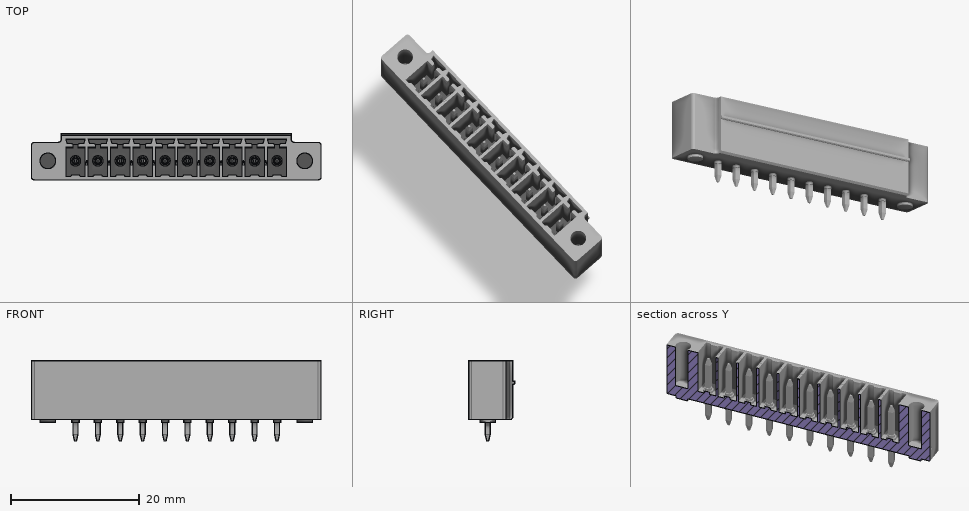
import cadquery as cq


LENGTH = 45.3
BODY_HEIGHT = 9.25
BODY_DEPTH = 6.95
EAR_DEPTH = 5.9
EAR_LENGTH = 4.65
CORNER_RADIUS = 0.5
BACK_CHAMFER = 0.3
FLOOR_THICKNESS = 2.0

RIB_OUT = 0.3
RIB_TOP = BODY_HEIGHT - 3.2
RIB_HEIGHT = 0.5

PIN_COUNT = 10
PIN_ROW_LENGTH = 31.5
PIN_PITCH = PIN_ROW_LENGTH / (PIN_COUNT - 1)
PIN_Y = 3.0
PIN_WIDTH = 0.8
PIN_TOP = BODY_HEIGHT - 1.15
PIN_BOTTOM = -3.35
TIP_WIDTH = 0.3
TIP_LENGTH = 1.05
COLLAR_HEIGHT = 0.4
SLEEVE_OVERHANG = 0.4
SLEEVE_RADIUS = 0.6
COLLAR_RADIUS = 0.8

HOLE_RADIUS = 1.22
HOLE_X = LENGTH / 2 - 2.6
FOOT_HEIGHT = 0.4

CHAMBER_WIDTH = 3.05
CHAMBER_FRONT = 0.55
CHAMBER_BACK = 5.15
LEAD_IN_DEPTH = 0.16
LEAD_IN_HEIGHT = 0.55
BUMP_HEIGHT = 0.25
BUMP_BASE_WIDTH = 1.55
BUMP_TOP_WIDTH = 1.1

NECK_WIDTH = 0.8
NECK_END = 5.55
MOUTH_WIDTH = 1.25
HEAD_FRONT = 5.7
HEAD_BACK = 6.45
HEAD_FRONT_WIDTH = 2.65
HEAD_BACK_WIDTH = 3.05
HEAD_FLOOR_RISE = 0.45
HEAD_BACK_DRAFT = 0.15

MARK_WIDTH = 0.4
MARK_LENGTH = 0.75
MARK_DEPTH = 0.1
DIVIDER_MARK_Y = 2.3
END_MARK_Z = 1.9

PIN_XS = [i * PIN_PITCH - PIN_ROW_LENGTH / 2 for i in range(PIN_COUNT)]
DIVIDER_XS = [x + PIN_PITCH / 2 for x in PIN_XS[:-1]]


def mirrored_outline(half):
    """Close an outline symmetric about X = 0 from its right half."""
    return half + [(-x, y) for x, y in reversed(half)]


def prism(points, bottom, top):
    return cq.Workplane("XY").workplane(offset=bottom).polyline(points).close().extrude(top - bottom)


def cylinder(x, y, radius, bottom, top):
    return cq.Workplane("XY").workplane(offset=bottom).center(x, y).circle(radius).extrude(top - bottom)


def make_body():
    ears = cq.Workplane("XY").box(LENGTH, EAR_DEPTH, BODY_HEIGHT, centered=(True, False, False))
    ears = ears.edges("|Z").fillet(CORNER_RADIUS)
    middle_length = LENGTH - 2 * EAR_LENGTH
    middle = cq.Workplane("XY").box(middle_length, BODY_DEPTH, BODY_HEIGHT, centered=(True, False, False))
    middle = middle.faces(">Y").edges("<Z").chamfer(BACK_CHAMFER)
    body = ears.union(middle)
    margin = CORNER_RADIUS / 2
    inner_corners = cq.selectors.BoxSelector(
        (-middle_length / 2 - margin, EAR_DEPTH - margin, 0),
        (middle_length / 2 + margin, EAR_DEPTH + margin, BODY_HEIGHT),
    )
    body = body.edges("|Z").edges(inner_corners).fillet(CORNER_RADIUS)
    rib_back = BODY_DEPTH + RIB_OUT
    rib = (
        cq.Workplane("YZ", origin=(-middle_length / 2, 0, 0))
        .moveTo(BODY_DEPTH, RIB_TOP)
        .lineTo(rib_back, RIB_TOP)
        .lineTo(rib_back, RIB_TOP - RIB_HEIGHT + RIB_OUT / 2)
        .lineTo(rib_back - RIB_OUT / 2, RIB_TOP - RIB_HEIGHT)
        .lineTo(BODY_DEPTH, RIB_TOP - RIB_HEIGHT)
        .close()
        .extrude(middle_length)
    )
    return body.union(rib)


def make_chamber():
    """Space cut out for one contact at X = 0, including its coding slot."""
    chamber = prism(
        mirrored_outline(
            [
                (BUMP_TOP_WIDTH / 2, CHAMBER_FRONT + BUMP_HEIGHT),
                (BUMP_BASE_WIDTH / 2, CHAMBER_FRONT),
                (CHAMBER_WIDTH / 2, CHAMBER_FRONT),
                (CHAMBER_WIDTH / 2, CHAMBER_BACK),
                (NECK_WIDTH / 2, CHAMBER_BACK),
                (NECK_WIDTH / 2, NECK_END),
            ]
        ),
        FLOOR_THICKNESS,
        BODY_HEIGHT,
    )
    lead_in_start = CHAMBER_BACK - LEAD_IN_DEPTH
    lead_in_keep = (
        cq.Workplane("YZ")
        .moveTo(lead_in_start, FLOOR_THICKNESS)
        .lineTo(lead_in_start, BODY_HEIGHT - LEAD_IN_HEIGHT)
        .lineTo(CHAMBER_BACK, BODY_HEIGHT)
        .lineTo(CHAMBER_BACK, FLOOR_THICKNESS)
        .close()
        .extrude(CHAMBER_WIDTH / 2, both=True)
    )
    neck_clearance = cq.Workplane("XY").box(NECK_WIDTH, 2 * BODY_DEPTH, 2 * BODY_HEIGHT)
    chamber = chamber.cut(lead_in_keep.cut(neck_clearance))

    head_floor = FLOOR_THICKNESS + HEAD_FLOOR_RISE
    head = prism(
        mirrored_outline(
            [
                (NECK_WIDTH / 2, NECK_END),
                (MOUTH_WIDTH / 2, HEAD_FRONT),
                (HEAD_FRONT_WIDTH / 2, HEAD_FRONT),
                (HEAD_BACK_WIDTH / 2, HEAD_BACK),
            ]
        ),
        head_floor,
        BODY_HEIGHT,
    )
    back_draft = (
        cq.Workplane("YZ")
        .moveTo(HEAD_BACK, head_floor)
        .lineTo(HEAD_BACK - HEAD_BACK_DRAFT, head_floor)
        .lineTo(HEAD_BACK, BODY_HEIGHT)
        .close()
        .extrude(HEAD_BACK_WIDTH / 2, both=True)
    )
    return chamber.union(head.cut(back_draft))


def square_tip(base_z, length):
    """Tapered end of a pin at X = 0; a negative length points down."""
    return (
        cq.Workplane("XY", origin=(0, PIN_Y, base_z))
        .rect(PIN_WIDTH, PIN_WIDTH)
        .workplane(offset=length)
        .rect(TIP_WIDTH, TIP_WIDTH)
        .loft()
    )


def make_contact():
    """Square pin at X = 0 with a collar on the chamber floor and a sleeve through collar and floor."""
    shank_bottom = PIN_BOTTOM + TIP_LENGTH
    shank_top = PIN_TOP - TIP_LENGTH
    shank = (
        cq.Workplane("XY", origin=(0, PIN_Y, shank_bottom))
        .rect(PIN_WIDTH, PIN_WIDTH)
        .extrude(shank_top - shank_bottom)
    )
    collar_top = FLOOR_THICKNESS + COLLAR_HEIGHT
    collar = cylinder(0, PIN_Y, COLLAR_RADIUS, FLOOR_THICKNESS, collar_top)
    sleeve = cylinder(0, PIN_Y, SLEEVE_RADIUS, -SLEEVE_OVERHANG, collar_top + SLEEVE_OVERHANG)
    pin = shank.union(square_tip(shank_top, TIP_LENGTH)).union(square_tip(shank_bottom, -TIP_LENGTH))
    return pin.union(collar).union(sleeve)


def triangle(plane):
    """Triangular mark sunk into a face; its base is centred on the plane origin."""
    half_width = MARK_WIDTH / 2
    points = [(-half_width, 0), (half_width, 0), (0, MARK_LENGTH)]
    return cq.Workplane(plane).polyline(points).close().extrude(-MARK_DEPTH)


result = make_body()

chamber = make_chamber()
for pin_x in PIN_XS:
    result = result.cut(chamber.translate((pin_x, 0, 0)))

contact = make_contact()
for pin_x in PIN_XS:
    result = result.union(contact.translate((pin_x, 0, 0)))

for hole_x in (-HOLE_X, HOLE_X):
    result = result.union(cylinder(hole_x, PIN_Y, HOLE_RADIUS, -FOOT_HEIGHT, FLOOR_THICKNESS))
    result = result.cut(cylinder(hole_x, PIN_Y, HOLE_RADIUS, FLOOR_THICKNESS, BODY_HEIGHT))

for divider_x in DIVIDER_XS:
    top_plane = cq.Plane(origin=(divider_x, DIVIDER_MARK_Y, BODY_HEIGHT))
    result = result.cut(triangle(top_plane))

end_plane = cq.Plane(origin=(-LENGTH / 2, PIN_Y, END_MARK_Z), xDir=(0, -1, 0), normal=(-1, 0, 0))
result = result.cut(triangle(end_plane))